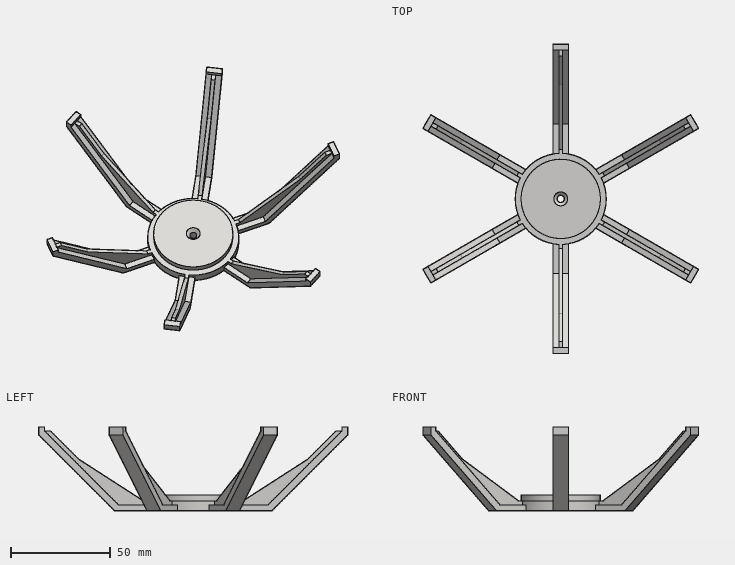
import cadquery as cq

flange_diameter = 46.0
flange_height = 5.0
boss_diameter = 40.0
hub_height = 8.0
hole_diameter = 3.5
countersink_diameter = 7.0
countersink_angle = 90.0

arm_count = 6
arm_width = 8.0
foot_thickness = 3.0
tip_radius = 78.0
inner_bend_radius = 37.68
bend_offset = 2.0
lip_thickness = 3.0
lip_height = 2.0

rib_width = 2.0
rib_start_radius = 25.0
rib_knee_radius = 57.8
rib_end_setback = 3.0

outer_bend_radius = inner_bend_radius + bend_offset
lip_underside_z = tip_radius - outer_bend_radius
lip_inner_radius = tip_radius - lip_thickness
lip_foot_z = foot_thickness + lip_inner_radius - inner_bend_radius
arm_top_z = lip_foot_z + lip_height
rib_end_radius = lip_inner_radius - rib_end_setback
rib_knee_z = lip_foot_z - (rib_end_radius - rib_knee_radius)

arm_root_radius = 15.0


def radial_plate(outline, width):
    """Extrude a (radius, height) outline symmetrically about the XZ plane."""
    return cq.Workplane("XZ").polyline(outline).close().extrude(width / 2, both=True)


def make_hub():
    hub = cq.Workplane("XY").circle(flange_diameter / 2).extrude(flange_height)
    boss = cq.Workplane("XY").circle(boss_diameter / 2).extrude(hub_height)
    return hub.union(boss)


def make_arm():
    beam = radial_plate(
        [
            (arm_root_radius, 0),
            (outer_bend_radius, 0),
            (tip_radius, lip_underside_z),
            (tip_radius, arm_top_z),
            (lip_inner_radius, arm_top_z),
            (lip_inner_radius, lip_foot_z),
            (inner_bend_radius, foot_thickness),
            (arm_root_radius, foot_thickness),
        ],
        arm_width,
    )
    rib = radial_plate(
        [
            (arm_root_radius, 0),
            (outer_bend_radius, 0),
            (tip_radius, lip_underside_z),
            (tip_radius, lip_foot_z),
            (rib_end_radius, lip_foot_z),
            (rib_knee_radius, rib_knee_z),
            (rib_start_radius, flange_height),
            (arm_root_radius, flange_height),
        ],
        rib_width,
    )
    return beam.union(rib)


def add_arms(body):
    arm = make_arm()
    pitch_angle = 360 / arm_count
    first_angle = 90
    for index in range(arm_count):
        angle = first_angle + index * pitch_angle
        body = body.union(arm.rotate((0, 0, 0), (0, 0, 1), angle))
    return body


def cut_centre_hole(body):
    top_face = body.copyWorkplane(cq.Workplane("XY", origin=(0, 0, hub_height)))
    return top_face.cskHole(hole_diameter, countersink_diameter, countersink_angle)


result = cut_centre_hole(add_arms(make_hub()))